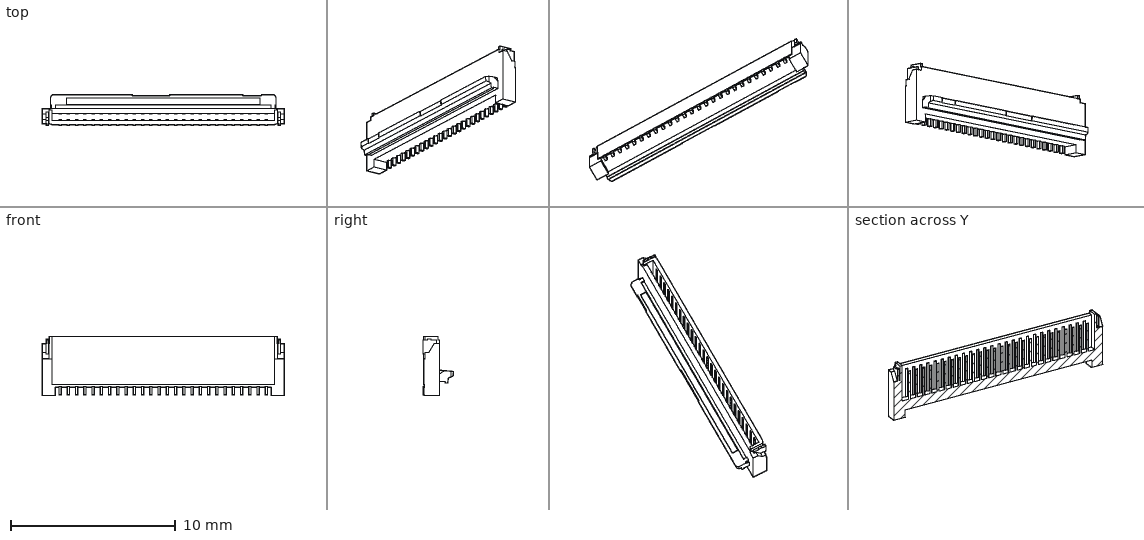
import math

import cadquery as cq

LENGTH = 14.70
TOP_Z = 3.60

SHELL_HALF_X = 6.92
FRONT_PANEL_HALF_X = 6.75
FRONT_PANEL_Y = -0.98
FRONT_PANEL_BOTTOM_Z = 0.68
BODY_FRONT_Y = -0.94
BODY_BOTTOM_Z = 0.50
SHELL_CORNER_Y = -0.90
REAR_WALL_TOP_Z = 3.38
END_WALL_REAR_Y = -0.09

SLOT_HALF_X = FRONT_PANEL_HALF_X
SLOT_REAR_Y = -0.30
SLOT_FRONT_Y = -0.71
SLOT_FLOOR_Z = 1.20

EAR_HALF_X = LENGTH / 2
EAR_FRONT_Y = SHELL_CORNER_Y
EAR_TOP_Z = 3.16
EAR_TOP_FRONT_Y = -0.33
EAR_SLOPE_END_Y = -0.65
EAR_LEDGE_Z = 2.63
EAR_STEP_TOP_Z = 2.27
EAR_STEP_Z = 2.23
FOOT_INNER_X = 6.55

CONTACT_COUNT = 26
CONTACT_PITCH = 0.50
CONTACT_WIDTH = 0.15
TAIL_FRONT_Y = -1.02
TAIL_DEPTH = 0.22
TAIL_BOTTOM_Z = 0.05
TAIL_TOP_Z = 0.55
SLOT_CONTACT_HEIGHT = 0.04
SLOT_CONTACT_TOP_Z = 3.10

FITTING_INNER_X = 6.97
FITTING_OUTER_X = 7.10
FITTING_REAR_Y = -0.19
FITTING_FRONT_Y = TAIL_FRONT_Y
FITTING_BOTTOM_Z = 2.54
FITTING_TOP_Z = 3.38
FITTING_BUMP_Z = 3.43
FITTING_BUMP_REAR_Y = -0.53
FITTING_BUMP_FRONT_Y = -0.73

ACTUATOR_HALF_X = 6.85
ACTUATOR_REAR_Y = 0.85
ACTUATOR_TILT = math.radians(5.4)
ACTUATOR_ROOT_TOP_Z = 1.555
ACTUATOR_ROOT_BOTTOM_Z = 0.85
ACTUATOR_HEEL_Z = 0.77
ACTUATOR_HEEL_FRONT_Y = 0.33
ACTUATOR_HEEL_REAR_Y = 0.50
ACTUATOR_STEP_Y = 0.53
ACTUATOR_STEP_Z = 1.07
ACTUATOR_LIP_Z = 1.19
ACTUATOR_LIP_Y = 0.82
ACTUATOR_CORNER_X = 0.13
ACTUATOR_CORNER_Y = 0.16

HINGE_CUT_REAR_Y = 0.225
HINGE_CUT_ROOT_Z = 1.33
HINGE_CUT_REAR_Z = 1.47
HINGE_ARM_INNER_X = 6.55
HINGE_ARM_OUTER_X = 6.77

PANEL_HALF_X = 5.87
PANEL_FRONT_Y = 0.255
PANEL_REAR_Y = 0.63
PANEL_DEPTH = 0.08
EDGE_NOTCH_DEPTH = 0.06
EDGE_NOTCHES_X = ((-1.87, 0.38), (4.83, 5.96))


def block(x_range, y_range, z_range):
    """Axis-aligned box between pairs of opposite coordinates, in any order."""
    ranges = (x_range, y_range, z_range)
    sizes = [abs(b - a) for a, b in ranges]
    lows = [min(pair) for pair in ranges]
    return cq.Workplane("XY").box(*sizes, centered=False).translate(tuple(lows))


def extrude_along_x(profile_yz, x_start, x_end):
    """Prism with a YZ outline, running from x_start to x_end."""
    prism = cq.Workplane("YZ").polyline(profile_yz).close().extrude(x_end - x_start)
    return prism.translate((x_start, 0, 0))


def with_mirror(solid):
    """The solid joined with its mirror image at the other end of the part."""
    return solid.union(solid.mirror("YZ"))


def contact_positions():
    first_x = -CONTACT_PITCH * (CONTACT_COUNT - 1) / 2
    return [first_x + i * CONTACT_PITCH for i in range(CONTACT_COUNT)]


def make_housing():
    plan = [
        (-SHELL_HALF_X, END_WALL_REAR_Y),
        (-SHELL_HALF_X, SHELL_CORNER_Y),
        (-FRONT_PANEL_HALF_X, FRONT_PANEL_Y),
        (FRONT_PANEL_HALF_X, FRONT_PANEL_Y),
        (SHELL_HALF_X, SHELL_CORNER_Y),
        (SHELL_HALF_X, END_WALL_REAR_Y),
    ]
    shell = cq.Workplane("XY").polyline(plan).close().extrude(TOP_Z - EAR_STEP_Z)
    shell = shell.translate((0, 0, EAR_STEP_Z))
    lower_panel = block(
        (-FRONT_PANEL_HALF_X, FRONT_PANEL_HALF_X),
        (0, FRONT_PANEL_Y),
        (FRONT_PANEL_BOTTOM_Z, EAR_STEP_Z),
    )
    rear_relief = block(
        (-SLOT_HALF_X, SLOT_HALF_X), (END_WALL_REAR_Y, SLOT_REAR_Y), (REAR_WALL_TOP_Z, TOP_Z)
    )
    shell = shell.cut(rear_relief)
    rear_wall = block(
        (-SHELL_HALF_X, SHELL_HALF_X), (0, SLOT_REAR_Y), (BODY_BOTTOM_Z, REAR_WALL_TOP_Z)
    )
    base = block(
        (-EAR_HALF_X, EAR_HALF_X), (0, BODY_FRONT_Y), (BODY_BOTTOM_Z, FRONT_PANEL_BOTTOM_Z)
    )
    slot = block(
        (-SLOT_HALF_X, SLOT_HALF_X), (SLOT_REAR_Y, SLOT_FRONT_Y), (SLOT_FLOOR_Z, TOP_Z)
    )
    return shell.union(lower_panel).union(rear_wall).union(base).cut(slot)


def make_ears():
    profile = [
        (0, 0),
        (0, EAR_TOP_Z),
        (EAR_TOP_FRONT_Y, EAR_TOP_Z),
        (EAR_SLOPE_END_Y, EAR_LEDGE_Z),
        (EAR_FRONT_Y, EAR_LEDGE_Z),
        (EAR_FRONT_Y, EAR_STEP_TOP_Z),
        (BODY_FRONT_Y, EAR_STEP_Z),
        (BODY_FRONT_Y, 0),
    ]
    ear = extrude_along_x(profile, -EAR_HALF_X, -FRONT_PANEL_HALF_X)
    ear = ear.cut(
        block((-SHELL_HALF_X, -FRONT_PANEL_HALF_X), (0, BODY_FRONT_Y), (EAR_STEP_Z, TOP_Z))
    )
    foot = block((-EAR_HALF_X, -FOOT_INNER_X), (0, BODY_FRONT_Y), (0, BODY_BOTTOM_Z))
    return with_mirror(ear.union(foot))


def make_fittings():
    x_range = (-FITTING_OUTER_X, -FITTING_INNER_X)
    plate = block(x_range, (FITTING_REAR_Y, FITTING_FRONT_Y), (FITTING_BOTTOM_Z, FITTING_TOP_Z))
    bump = block(
        x_range, (FITTING_BUMP_REAR_Y, FITTING_BUMP_FRONT_Y), (FITTING_BOTTOM_Z, FITTING_BUMP_Z)
    )
    return with_mirror(plate.union(bump))


def make_contact(x):
    """Solder tail below the housing and two raised strips on the slot walls."""
    x_range = (x - CONTACT_WIDTH / 2, x + CONTACT_WIDTH / 2)
    strip_z = (SLOT_FLOOR_Z, SLOT_CONTACT_TOP_Z)
    tail = block(x_range, (TAIL_FRONT_Y, TAIL_FRONT_Y + TAIL_DEPTH), (TAIL_BOTTOM_Z, TAIL_TOP_Z))
    rear_strip = block(x_range, (SLOT_REAR_Y, SLOT_REAR_Y - SLOT_CONTACT_HEIGHT), strip_z)
    front_strip = block(x_range, (SLOT_FRONT_Y, SLOT_FRONT_Y + SLOT_CONTACT_HEIGHT), strip_z)
    return [tail.val(), rear_strip.val(), front_strip.val()]


def actuator_top_z(y):
    return ACTUATOR_ROOT_TOP_Z - y * math.tan(ACTUATOR_TILT)


def cut_hinge_side(actuator):
    """Slope the hinge edge everywhere except on the two hinge arms."""
    wedge = [
        (0, HINGE_CUT_ROOT_Z),
        (HINGE_CUT_REAR_Y, HINGE_CUT_REAR_Z),
        (HINGE_CUT_REAR_Y, TOP_Z),
        (0, TOP_Z),
    ]
    end_cut = extrude_along_x(wedge, -ACTUATOR_HALF_X, -HINGE_ARM_OUTER_X)
    middle_cut = extrude_along_x(wedge, -HINGE_ARM_INNER_X, HINGE_ARM_INNER_X)
    return actuator.cut(with_mirror(end_cut)).cut(middle_cut)


def cut_actuator_recesses(actuator):
    panel = [
        (PANEL_FRONT_Y, actuator_top_z(PANEL_FRONT_Y) - PANEL_DEPTH),
        (PANEL_FRONT_Y, TOP_Z),
        (PANEL_REAR_Y, TOP_Z),
        (PANEL_REAR_Y, actuator_top_z(PANEL_REAR_Y) - PANEL_DEPTH),
    ]
    actuator = actuator.cut(extrude_along_x(panel, -PANEL_HALF_X, PANEL_HALF_X))
    notch_y = (ACTUATOR_REAR_Y - EDGE_NOTCH_DEPTH, ACTUATOR_REAR_Y)
    for notch_x in EDGE_NOTCHES_X:
        actuator = actuator.cut(block(notch_x, notch_y, (0, TOP_Z)))
    return actuator


def make_actuator():
    profile = [
        (0, ACTUATOR_ROOT_BOTTOM_Z),
        (0, ACTUATOR_ROOT_TOP_Z),
        (ACTUATOR_REAR_Y, actuator_top_z(ACTUATOR_REAR_Y)),
        (ACTUATOR_LIP_Y, ACTUATOR_LIP_Z),
        (ACTUATOR_STEP_Y, ACTUATOR_STEP_Z),
        (ACTUATOR_HEEL_REAR_Y, ACTUATOR_HEEL_Z),
        (ACTUATOR_HEEL_FRONT_Y, ACTUATOR_HEEL_Z),
        (ACTUATOR_HEEL_FRONT_Y, ACTUATOR_ROOT_BOTTOM_Z),
    ]
    actuator = extrude_along_x(profile, -ACTUATOR_HALF_X, ACTUATOR_HALF_X)
    corner = [
        (-ACTUATOR_HALF_X, ACTUATOR_REAR_Y),
        (-ACTUATOR_HALF_X, ACTUATOR_REAR_Y - ACTUATOR_CORNER_Y),
        (-ACTUATOR_HALF_X + ACTUATOR_CORNER_X, ACTUATOR_REAR_Y),
    ]
    corner_cut = cq.Workplane("XY").polyline(corner).close().extrude(TOP_Z)
    actuator = actuator.cut(with_mirror(corner_cut))
    return cut_actuator_recesses(cut_hinge_side(actuator))


contacts = [solid for x in contact_positions() for solid in make_contact(x)]
connector = make_housing().union(make_ears()).union(make_fittings()).union(make_actuator())
result = cq.Workplane(connector.val().fuse(*contacts))